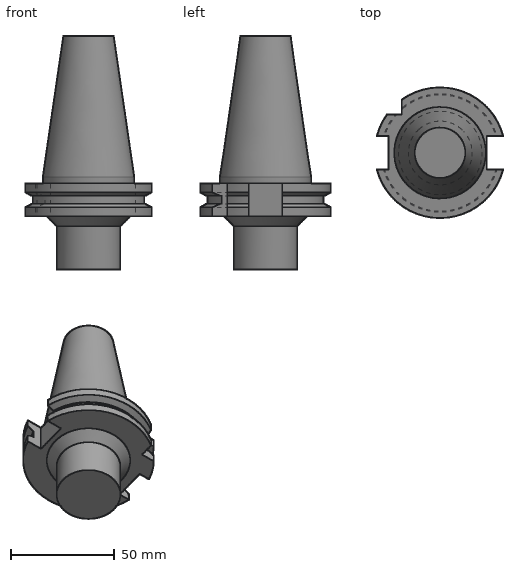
import cadquery as cq
import math

total_height = 113.4
nose_height = 21.1
flange_bottom = 25.9
flange_top = 41.8
gauge_height = 45.0
flange_middle = (flange_bottom + flange_top) / 2

nose_radius = 31.0 / 2
flange_radius = 63.5 / 2
gauge_radius = 44.5 / 2
taper_ratio = 7 / 24
tip_radius = gauge_radius - taper_ratio * (total_height - gauge_height) / 2
collar_radius = nose_radius + flange_bottom - nose_height

groove_floor_radius = 56.5 / 2
groove_flank_radius = 28.7
groove_floor_width = 3.7
groove_flank_angle = 30
flank_rise = (flange_radius - groove_flank_radius) * math.tan(math.radians(groove_flank_angle))
groove_floor_half = groove_floor_width / 2
groove_mouth_half = groove_floor_half + flank_rise

drive_slot_width = 16.1
deep_slot_floor = 25.1
shallow_slot_floor = 22.8
notch_offset = 18.6


def turned_body():
    profile = [
        (0, 0),
        (nose_radius, 0),
        (nose_radius, nose_height),
        (collar_radius, flange_bottom),
        (flange_radius, flange_bottom),
        (flange_radius, flange_middle - groove_mouth_half),
        (groove_flank_radius, flange_middle - groove_floor_half),
        (groove_floor_radius, flange_middle - groove_floor_half),
        (groove_floor_radius, flange_middle + groove_floor_half),
        (groove_flank_radius, flange_middle + groove_floor_half),
        (flange_radius, flange_middle + groove_mouth_half),
        (flange_radius, flange_top),
        (gauge_radius, flange_top),
        (gauge_radius, gauge_height),
        (tip_radius, total_height),
        (0, total_height),
    ]
    return cq.Workplane("XZ").polyline(profile).close().revolve(360, (0, 0), (0, 1))


def flange_cutter(x_start, x_end, y_start, y_end):
    """Block through the full flange thickness."""
    return (
        cq.Workplane("XY")
        .box(x_end - x_start, y_end - y_start, flange_top - flange_bottom, centered=False)
        .translate((x_start, y_start, flange_bottom))
    )


slot_half = drive_slot_width / 2
deep_slot = flange_cutter(-flange_radius, -deep_slot_floor, -slot_half, slot_half)
shallow_slot = flange_cutter(shallow_slot_floor, flange_radius, -slot_half, slot_half)
corner_notch = flange_cutter(-flange_radius, -notch_offset, notch_offset, flange_radius)

result = turned_body().cut(deep_slot).cut(shallow_slot).cut(corner_notch)